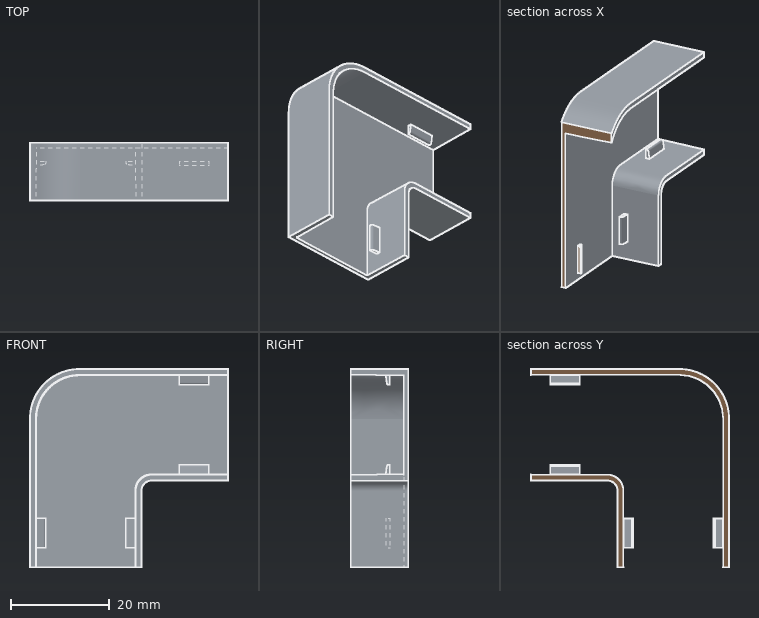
import math

import cadquery as cq

leg_length = 40.1
depth = 11.7
outer_width = 22.6
floor_thickness = 1.0

rim_wall = 1.2
root_wall = 1.3
channel_depth = depth - floor_thickness
draft_angle = math.degrees(math.atan((root_wall - rim_wall) / channel_depth))

bend_radius = 10.1
notch_radius = 2.0

clip_length = 6.0
clip_offset = 3.9
clip_reach = 2.0
clip_shoulder = 1.6
clip_front = 7.1
clip_root_thickness = 0.85
clip_shoulder_lean = 0.2
clip_tip_lean = 0.85
clip_embed = 0.6


def elbow_outline(inset, mouth_extension):
    """L-shaped outline in the rim plane, its long sides inset, its mouths extended outwards."""
    left = inset
    right = outer_width - inset
    top = leg_length - inset
    notch_top = leg_length - right
    bottom = -mouth_extension
    mouth_x = leg_length + mouth_extension
    outer_radius = bend_radius - inset
    inner_radius = notch_radius + inset
    return (
        cq.Workplane("XZ")
        .moveTo(left, bottom)
        .lineTo(left, top - outer_radius)
        .radiusArc((left + outer_radius, top), outer_radius)
        .lineTo(mouth_x, top)
        .lineTo(mouth_x, notch_top)
        .lineTo(right + inner_radius, notch_top)
        .radiusArc((right, notch_top - inner_radius), -inner_radius)
        .lineTo(right, bottom)
        .close()
    )


def channel_shell():
    """Elbow with a floor at the back and a drafted channel running through both mouths."""
    mouth_clearance = 1.0
    body = elbow_outline(0, 0).extrude(-depth)
    channel = elbow_outline(rim_wall, mouth_clearance).extrude(-channel_depth, taper=draft_angle)
    return body.cut(channel)


def clip_pair():
    """Two facing clips in the leg that opens towards -Z."""
    lean_per_reach = clip_shoulder_lean / clip_shoulder
    embed_lean = clip_embed * lean_per_reach
    left_clip = (
        cq.Workplane("XY", origin=(rim_wall, clip_front, clip_offset))
        .moveTo(-clip_embed, -embed_lean)
        .lineTo(clip_shoulder, clip_shoulder_lean)
        .tangentArcPoint((clip_reach, clip_tip_lean), relative=False)
        .lineTo(-clip_embed, clip_root_thickness - embed_lean)
        .close()
        .extrude(clip_length)
    )
    right_clip = left_clip.mirror("YZ", (outer_width / 2, 0, 0))
    return left_clip.union(right_clip)


def swap_legs(body):
    """Mirror across the diagonal of the bend, carrying one leg onto the other."""
    return body.mirror(cq.Vector(1, 0, 1), (leg_length / 2, 0, leg_length / 2))


clips = clip_pair()
result = channel_shell().union(clips).union(swap_legs(clips))